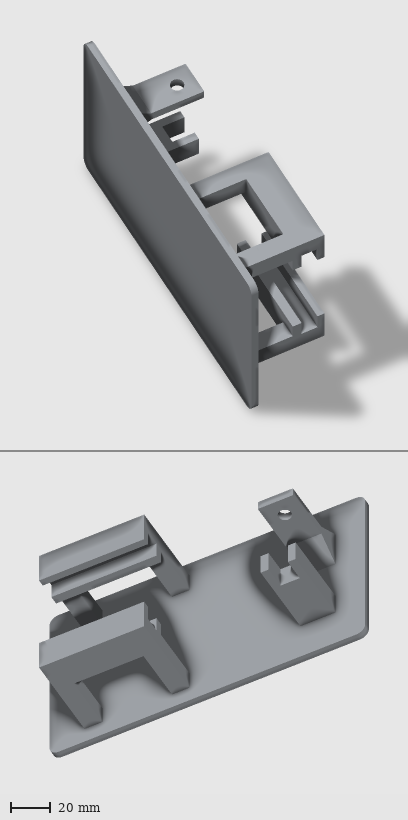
import cadquery as cq

plate_width = 180.0
plate_height = 100.0
plate_thickness = 4.0
corner_radius = 5.0

clip_left = 100.0
clip_width = 60.0
clip_leg_width = 10.0
clip_reach = 48.0
clip_edge_gap = 9.2
clip_leg_height = 10.3
clip_groove_floor = 9.2
clip_height = 18.0
lip_thickness = 4.0
groove_width = 9.0
rib_thickness = 5.0

tab_left = 17.0
tab_width = 20.0
tab_reach = 45.0
tab_thickness = 5.0
tab_middle_z = 68.4
root_length = 15.0
root_height = 21.6
hole_diameter = 7.2
hole_tip_distance = 10.0

fork_reach = 42.0
fork_bottom_z = 22.1
fork_height = 12.0
fork_slot_width = 11.0
fork_slot_depth = 12.6


def block(x, y, z, width, depth, height):
    """Box with its minimum corner at (x, y, z)."""
    return cq.Workplane("XY").box(width, depth, height, centered=False).translate((x, y, z))


def side_profile(points, left, width):
    """Extrude a (Y, Z) outline along +X."""
    return cq.Workplane("YZ").polyline(points).close().extrude(width).translate((left, 0, 0))


def make_plate():
    plate = block(0, 0, 0, plate_width, plate_thickness, plate_height)
    return plate.edges("|Y").fillet(corner_radius)


def make_lower_clip():
    tip = plate_thickness + clip_reach
    groove_end = tip - lip_thickness
    groove_start = groove_end - groove_width
    rib_start = groove_start - rib_thickness
    bottom = clip_edge_gap
    leg_top = bottom + clip_leg_height
    groove_z = bottom + clip_groove_floor
    top = bottom + clip_height
    outline = [
        (plate_thickness, bottom),
        (tip, bottom),
        (tip, top),
        (groove_end, top),
        (groove_end, groove_z),
        (groove_start, groove_z),
        (groove_start, top),
        (rib_start, top),
        (rib_start, leg_top),
        (plate_thickness, leg_top),
    ]
    window = block(
        clip_left + clip_leg_width, plate_thickness, bottom,
        clip_width - 2 * clip_leg_width, rib_start - plate_thickness, clip_height,
    )
    return side_profile(outline, clip_left, clip_width).cut(window)


def make_tab():
    tip = plate_thickness + tab_reach
    root_end = plate_thickness + root_length
    half_thickness = tab_thickness / 2
    half_root = root_height / 2
    outline = [
        (plate_thickness, tab_middle_z - half_root),
        (root_end, tab_middle_z - half_thickness),
        (tip, tab_middle_z - half_thickness),
        (tip, tab_middle_z + half_thickness),
        (root_end, tab_middle_z + half_thickness),
        (plate_thickness, tab_middle_z + half_root),
    ]
    hole = (
        cq.Workplane("XY")
        .center(tab_left + tab_width / 2, tip - hole_tip_distance)
        .circle(hole_diameter / 2)
        .extrude(tab_thickness)
        .translate((0, 0, tab_middle_z - half_thickness))
    )
    return side_profile(outline, tab_left, tab_width).cut(hole)


def make_fork():
    bar = block(tab_left, plate_thickness, fork_bottom_z, tab_width, fork_reach, fork_height)
    slot = block(
        tab_left + (tab_width - fork_slot_width) / 2,
        plate_thickness + fork_reach - fork_slot_depth,
        fork_bottom_z, fork_slot_width, fork_slot_depth, fork_height,
    )
    return bar.cut(slot)


lower_clip = make_lower_clip()
upper_clip = lower_clip.mirror("XY", (0, 0, plate_height / 2))

result = make_plate().union(lower_clip).union(upper_clip).union(make_tab()).union(make_fork())